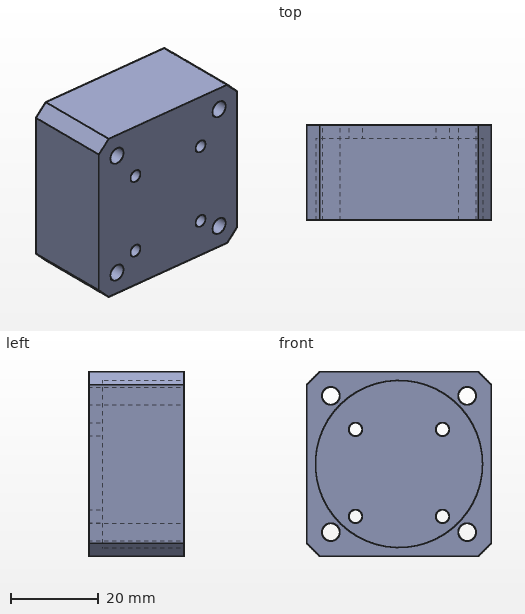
import cadquery as cq

side = 42.0
depth = 21.65
corner_chamfer = 3.0

pocket_diameter = 38.0
floor_thickness = 3.0
pocket_depth = depth - floor_thickness

corner_hole_diameter = 4.0
corner_hole_spacing = 31.0

floor_hole_diameter = 3.0
floor_hole_spacing = 19.8
floor_hole_drop = 2.0


def cylinders_along_y(diameter, length, spacing, center_z):
    """Four cylinders in a square pattern, running from the open face toward +Y."""
    return (
        cq.Workplane("XZ", origin=(0, 0, center_z))
        .rect(spacing, spacing, forConstruction=True)
        .vertices()
        .circle(diameter / 2)
        .extrude(-length)
    )


block = (
    cq.Workplane("XZ")
    .rect(side, side)
    .extrude(-depth)
    .edges("|Y")
    .chamfer(corner_chamfer)
)

pocket = cq.Workplane("XZ").circle(pocket_diameter / 2).extrude(-pocket_depth)

corner_holes = cylinders_along_y(corner_hole_diameter, depth, corner_hole_spacing, 0)
floor_holes = cylinders_along_y(
    floor_hole_diameter, depth, floor_hole_spacing, -floor_hole_drop
)

result = block.cut(pocket).cut(corner_holes).cut(floor_holes)